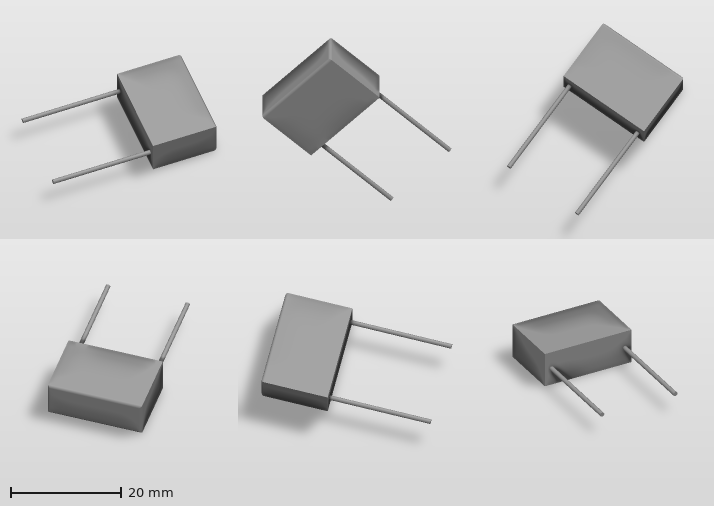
import cadquery as cq

BOX_WIDTH = 18.0
BOX_DEPTH = 12.5
BOX_THICKNESS = 6.8
BACK_EDGE_RADIUS = 0.5

LEAD_DIAMETER = 0.85
LEAD_LENGTH = 19.0
LEAD_SPACING = 15.2


def make_box():
    """Box with its front face on Y = 0 and all four edges of the back face rounded."""
    box = cq.Workplane("XY").box(
        BOX_WIDTH, BOX_DEPTH, BOX_THICKNESS, centered=(True, False, True)
    )
    return box.faces(">Y").edges().fillet(BACK_EDGE_RADIUS)


def make_lead(x_position):
    """Straight round lead that starts on the front face and runs toward -Y."""
    front_plane = cq.Workplane("XZ")
    return front_plane.center(x_position, 0).circle(LEAD_DIAMETER / 2).extrude(LEAD_LENGTH)


box = make_box()
leads = [make_lead(side * LEAD_SPACING / 2) for side in (-1, 1)]

result = cq.Compound.makeCompound([box.val(), *[lead.val() for lead in leads]])